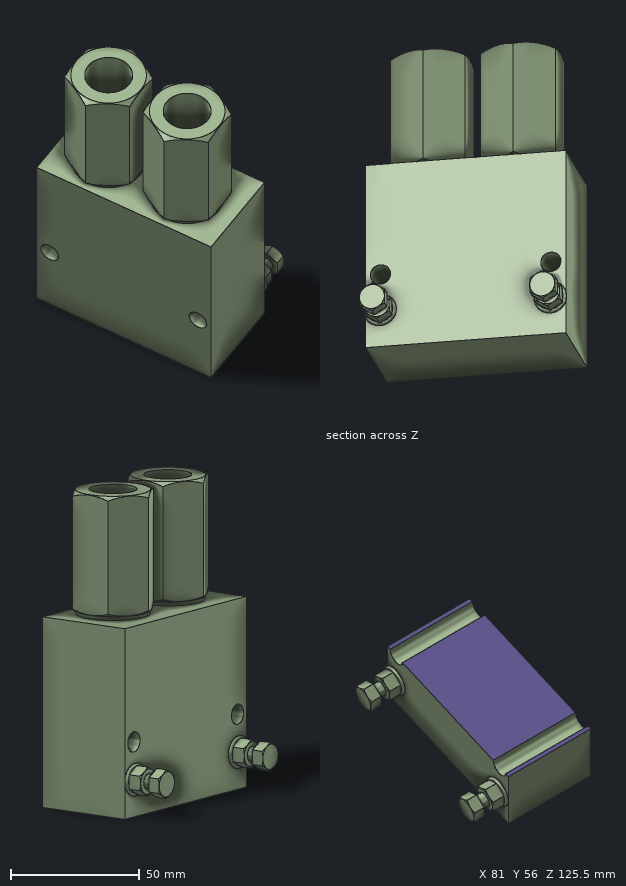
import cadquery as cq
import math

block_width = 80.0
block_depth = 40.0
block_height = 76.0
mount_hole_diameter = 8.0
mount_hole_height = 30.0
side_hole_offset = 34.0

fitting_offset = 18.0
fitting_y = -2.0
fitting_height = 49.5
fitting_across_flats = 30.0
fitting_face_diameter = 29.5
fitting_bore_diameter = 18.63
neck_diameter = 29.0
neck_height = 1.5

screw_height = 15.0
screw_across_flats = 10.0
screw_face_diameter = 10.0
shank_diameter = 6.0
rim_diameter = 13.0
rim_thickness = 1.5
screw_length = 16.0
head_thickness = 5.0
shank_gap = 4.0
lower_hex_start = rim_thickness / 2
head_start = screw_length - head_thickness
lower_hex_thickness = head_start - shank_gap - lower_hex_start

chamfer_slope = math.tan(math.radians(30))


def hexagon(across_flats, start, length):
    """Hexagonal bar along Z with two of its flats facing -X and +X."""
    corner_diameter = across_flats / math.cos(math.radians(30))
    bar = cq.Workplane("XY").polygon(6, corner_diameter).extrude(length)
    return bar.rotate((0, 0, 0), (0, 0, 1), 30).translate((0, 0, start))


def corner_trim(across_flats, face_diameter, start, length, both_ends):
    """Turned envelope whose 30 degree cones cut the hexagon corners at its ends."""
    face_radius = face_diameter / 2
    outer_radius = across_flats
    cone_height = (outer_radius - face_radius) * chamfer_slope
    end = start + length
    outline = cq.Workplane("XZ").moveTo(0, start)
    if both_ends:
        outline = outline.lineTo(face_radius, start).lineTo(outer_radius, start + cone_height)
    else:
        outline = outline.lineTo(outer_radius, start)
    outline = outline.lineTo(outer_radius, end - cone_height).lineTo(face_radius, end).lineTo(0, end)
    return outline.close().revolve(360, (0, 0, 0), (0, 1, 0))


def chamfered_hexagon(across_flats, face_diameter, start, length, both_ends):
    bar = hexagon(across_flats, start, length)
    return bar.intersect(corner_trim(across_flats, face_diameter, start, length, both_ends))


def make_block():
    body = cq.Workplane("XY").box(block_width, block_depth, block_height, centered=(True, True, False))
    holes = (
        cq.Workplane("XZ", origin=(0, block_depth / 2, mount_hole_height))
        .pushPoints([(-side_hole_offset, 0), (side_hole_offset, 0)])
        .circle(mount_hole_diameter / 2)
        .extrude(block_depth)
    )
    return body.cut(holes)


def make_fitting(x):
    """Bored hexagonal fitting on a short round neck."""
    hex_length = fitting_height - neck_height
    neck = cq.Workplane("XY").circle(neck_diameter / 2).extrude(neck_height)
    body = neck.union(
        chamfered_hexagon(fitting_across_flats, fitting_face_diameter, neck_height, hex_length, True)
    )
    bore = cq.Workplane("XY").circle(fitting_bore_diameter / 2).extrude(fitting_height)
    return body.cut(bore).translate((x, fitting_y, block_height))


def make_rim():
    """Disc on the block face whose round edge rolls over its crest and dips in towards the hexagon."""
    edge_radius = rim_thickness / 2
    crest_radius = rim_diameter / 2 - edge_radius
    dip = edge_radius * math.sin(math.radians(45))
    return (
        cq.Workplane("XZ")
        .lineTo(crest_radius, 0)
        .threePointArc((rim_diameter / 2, edge_radius), (crest_radius - dip, edge_radius + dip))
        .lineTo(0, edge_radius + dip)
        .close()
        .revolve(360, (0, 0, 0), (0, 1, 0))
    )


def make_bleed_screw(x):
    """Rim, lower hexagon, shank and hexagonal head, built along Z and laid along +Y."""
    shank = cq.Workplane("XY").circle(shank_diameter / 2).extrude(head_start)
    lower_hex = chamfered_hexagon(
        screw_across_flats, screw_face_diameter, lower_hex_start, lower_hex_thickness, False
    )
    head = chamfered_hexagon(screw_across_flats, screw_face_diameter, head_start, head_thickness, False)
    body = make_rim().union(shank).union(lower_hex).union(head)
    return body.rotate((0, 0, 0), (1, 0, 0), -90).translate((x, block_depth / 2, screw_height))


block = make_block()
fittings = [make_fitting(side * fitting_offset) for side in (-1, 1)]
bleed_screws = [make_bleed_screw(side * side_hole_offset) for side in (-1, 1)]

bodies = [block, *fittings, *bleed_screws]
result = cq.Compound.makeCompound([body.val() for body in bodies])